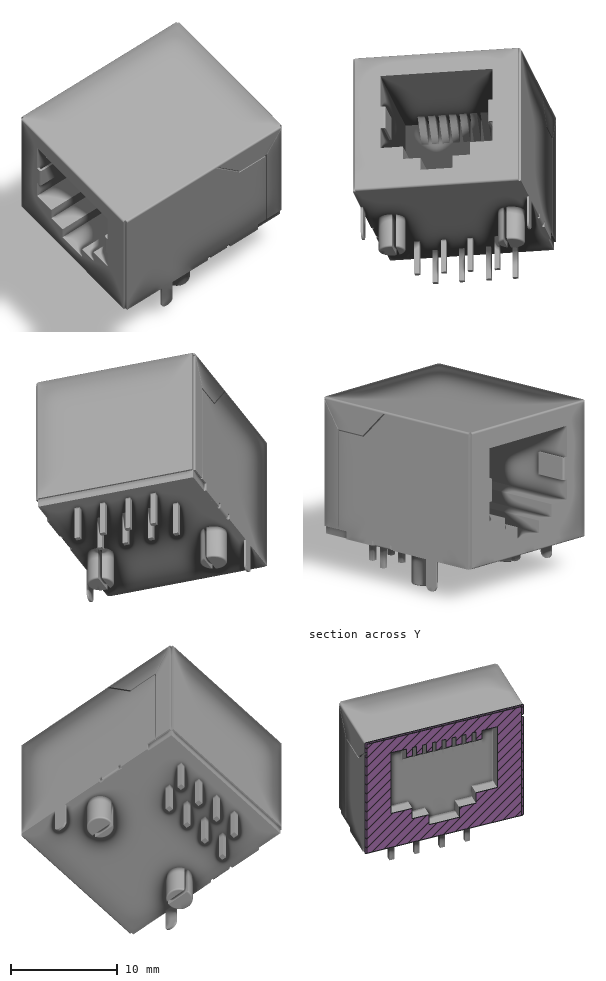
import cadquery as cq
import math


width = 16.0
depth = 18.8
body_height = 13.3
pin_length = 3.21

sheet = 0.2
bend_radius = 0.19
corner_gap = 0.04
inner_half_width = width / 2 - sheet
inner_height = body_height - sheet
side_front = sheet + corner_gap
side_back = depth - side_front

opening_top = 11.3
main_half_width, main_floor = 5.34, 4.1
latch_half_width, latch_floor = 3.2, 2.85
key_half_width, key_floor = 1.5, 1.65
cavity_end = 13.16

tab_bottom = 6.07
tab_top = 8.23
tab_half_spacing = 4.85
tab_end = 3.15

contact_count = 8
contact_pitch = 1.0
contact_width = 0.65
contact_drop = 2.01
contact_reach = 2.09

pin_count = 8
pin_width = 0.49
row_pitch = 2.54
pin_pitch = row_pitch / 2
front_row_y = 14.35

peg_x = 5.68
peg_y = 7.95
peg_diameter = 2.5
peg_fillet = 0.15
peg_slot_x = 5.28
peg_slot_width = 0.34

leg_y = 5.0
leg_width = 1.26
leg_length = 3.0
leg_corner_radius = 0.56

rear_cut_height = 0.77
rear_cut_front = 15.77
lip_center_y = 11.17
lip_width = 1.92
relief_width = 0.35
relief_height = 0.45

seam_gap = 0.15
strip_front = 16.86
strip_knee = 10.47
strip_tip = 12.97
seam_top = body_height - bend_radius
seam_back = 18.48
flap_front = 13.69


def box(x0, x1, y0, y1, z0, z1):
    """Axis-aligned box between the given limits."""
    return cq.Workplane("XY").box(x1 - x0, y1 - y0, z1 - z0, centered=False).translate((x0, y0, z0))


def side_prism(points, x0, x1):
    """Outline in Y and Z, extruded along X from x0 to x1."""
    return cq.Workplane("YZ").workplane(offset=x0).polyline(points).close().extrude(x1 - x0)


def mirrored(body):
    """The body together with its mirror image across the middle plane."""
    return body.union(body.mirror("YZ"))


def opening_prism(y0, y1):
    """Stepped plug opening between two depths."""
    opening = box(-main_half_width, main_half_width, y0, y1, main_floor, opening_top)
    for half_width, floor in ((latch_half_width, latch_floor), (key_half_width, key_floor)):
        opening = opening.union(box(-half_width, half_width, y0, y1, floor, main_floor))
    return opening


def contact_wedge(x):
    """Triangular contact between the cavity ceiling and the back wall."""
    profile = [
        (cavity_end, opening_top),
        (cavity_end - contact_reach, opening_top),
        (cavity_end, opening_top - contact_drop),
    ]
    return side_prism(profile, x - contact_width / 2, x + contact_width / 2)


def solder_pin(index):
    """Square pin; every second pin stands in the back row."""
    x = (index - (pin_count - 1) / 2) * pin_pitch
    y = front_row_y + (index % 2) * row_pitch
    half = pin_width / 2
    return box(x - half, x + half, y - half, y + half, -pin_length, 0)


def board_peg():
    """Round locating peg, split by a slot along Y."""
    peg = cq.Workplane("XY").center(peg_x, peg_y).circle(peg_diameter / 2).extrude(-pin_length)
    peg = peg.faces("<Z").edges().fillet(peg_fillet)
    slot = box(
        peg_slot_x - peg_slot_width / 2, peg_slot_x + peg_slot_width / 2,
        peg_y - peg_diameter, peg_y + peg_diameter, -pin_length, 0,
    )
    return peg.cut(slot)


def make_housing():
    """Plastic block with the plug cavity, contacts, pins and pegs."""
    housing = box(-inner_half_width, inner_half_width, sheet, depth - sheet, 0, inner_height)
    housing = housing.cut(opening_prism(sheet, cavity_end))
    for index in range(contact_count):
        housing = housing.union(contact_wedge((index - (contact_count - 1) / 2) * contact_pitch))
    for index in range(pin_count):
        housing = housing.union(solder_pin(index))
    return housing.union(mirrored(board_peg()))


def folded_shell():
    """Open-bottomed cover whose end and side panels are folded down from the top panel."""
    sides = box(-width / 2, width / 2, side_front, side_back, 0, body_height)
    sides = sides.edges("|Y and >Z").fillet(bend_radius)
    end_half_width = inner_half_width - corner_gap
    ends = box(-end_half_width, end_half_width, 0, depth, 0, body_height)
    ends = ends.edges("|X and >Z").fillet(bend_radius)
    ends = ends.edges("|X and <Z and <Y").fillet(bend_radius)
    inside = box(-inner_half_width, inner_half_width, sheet, depth - sheet, 0, inner_height)
    return sides.union(ends).cut(inside)


def spring_tab():
    """Tongue that bends from the front panel into the opening."""
    tongue = box(tab_half_spacing, main_half_width, 0, sheet, tab_bottom, tab_top)
    tongue = tongue.union(
        box(tab_half_spacing, tab_half_spacing + sheet, 0, tab_end, tab_bottom, tab_top)
    )
    return tongue.edges("|Z and <X and <Y").fillet(bend_radius)


def ground_leg():
    """Leg below the side panel, rounded at its free end."""
    leg = box(
        inner_half_width, width / 2,
        leg_y - leg_width / 2, leg_y + leg_width / 2, -leg_length, 0,
    )
    return leg.edges("|X and <Z").fillet(leg_corner_radius)


def rear_bottom_cut():
    """Clearance below the back panel and the back ends of the side panels."""
    return box(-width / 2, width / 2, rear_cut_front, depth, 0, rear_cut_height)


def lip_reliefs():
    """Two relief slots beside the lower lip of a side panel."""
    slots = cq.Workplane("XY")
    for direction in (-1, 1):
        y = lip_center_y + direction * (lip_width + relief_width) / 2
        half = relief_width / 2
        slots = slots.add(box(inner_half_width, width / 2, y - half, y + half, 0, relief_height))
    return slots.combine()


def lip_rounding():
    """Material outside the rounded lower edge of the lip."""
    y0 = lip_center_y - lip_width / 2
    center_x = width / 2 - bend_radius
    corner = box(center_x, width / 2, y0, y0 + lip_width, 0, bend_radius)
    roller = cq.Workplane("XZ", origin=(center_x, y0, bend_radius)).circle(bend_radius).extrude(-lip_width)
    return corner.cut(roller)


def seam_cut():
    """Window for the rear strip with its seam, and the seam below the top side flap."""
    window = [
        (strip_front - seam_gap, rear_cut_height),
        (depth, rear_cut_height),
        (depth, seam_top),
        (seam_back, seam_top),
        (strip_front - seam_gap, strip_knee),
    ]
    flap_rise = seam_top - strip_knee
    slant_gap = seam_gap * math.sqrt(2)
    arm = [
        (strip_front, strip_knee),
        (flap_front, strip_knee),
        (flap_front - flap_rise, seam_top),
        (flap_front - flap_rise - slant_gap, seam_top),
        (flap_front - slant_gap + seam_gap, strip_knee - seam_gap),
        (strip_front, strip_knee - seam_gap),
    ]
    outer = width / 2
    return side_prism(window, inner_half_width, outer).union(side_prism(arm, inner_half_width, outer))


def make_shield():
    """Folded cover with opening, spring tabs, ground legs and seams."""
    shield = folded_shell()
    shield = shield.cut(opening_prism(0, sheet))
    shield = shield.union(mirrored(spring_tab())).union(mirrored(ground_leg()))
    shield = shield.cut(rear_bottom_cut())
    shield = shield.cut(mirrored(lip_reliefs())).cut(mirrored(lip_rounding()))
    return shield.cut(mirrored(seam_cut()))


def make_rear_strip(side):
    """Flat strip that fills the rear window of one side panel (side is -1 or 1)."""
    outline = [
        (strip_front, rear_cut_height),
        (side_back, rear_cut_height),
        (side_back, strip_tip),
        (strip_front, strip_knee),
    ]
    middle_x = side * (inner_half_width + sheet / 2)
    return side_prism(outline, middle_x - sheet / 2, middle_x + sheet / 2)


housing = make_housing()
shield = make_shield()
rear_strips = [make_rear_strip(side) for side in (-1, 1)]

result = cq.Compound.makeCompound([housing.val(), shield.val(), *[strip.val() for strip in rear_strips]])